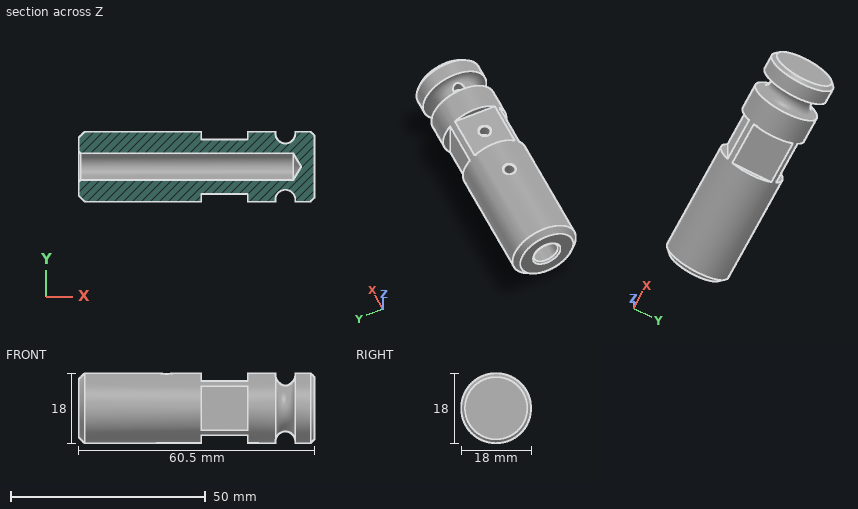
import cadquery as cq
import math

length = 60.5
body_diameter = 18.0
body_radius = body_diameter / 2
bored_end_chamfer = 1.5
head_end_chamfer = 1.0

groove_center = 53.0
groove_width = 5.0
groove_bottom_radius = 2.5
groove_core_diameter = 12.0

flat_center = 37.4
flat_length = 11.9
flat_start = flat_center - flat_length / 2
across_flats = 14.0

bore_diameter = 6.8
bore_depth = 55.0
bore_mouth_diameter = 7.8
drill_point_angle = 118.0

radial_hole_diameter = 3.0
radial_hole_chamfer = 0.2
lubrication_hole_position = 22.5


def make_body():
    """Plain bar with a chamfer at each end."""
    bar = cq.Workplane("YZ").circle(body_radius).extrude(length)
    bar = bar.faces("<X").chamfer(bored_end_chamfer)
    return bar.faces(">X").chamfer(head_end_chamfer)


def make_groove():
    """Ring to remove, revolved about the X axis."""
    half_width = groove_width / 2
    core_radius = groove_core_diameter / 2
    arc_center_height = core_radius + groove_bottom_radius
    arc_end_height = arc_center_height - math.sqrt(groove_bottom_radius**2 - half_width**2)
    return (
        cq.Workplane("XY")
        .moveTo(groove_center - half_width, body_radius)
        .lineTo(groove_center - half_width, arc_end_height)
        .threePointArc((groove_center, core_radius), (groove_center + half_width, arc_end_height))
        .lineTo(groove_center + half_width, body_radius)
        .close()
        .revolve(360, (0, 0, 0), (1, 0, 0))
    )


def make_flats():
    """Material outside the square section over the length of the flats."""
    return (
        cq.Workplane("YZ", origin=(flat_start, 0, 0))
        .rect(body_diameter, body_diameter)
        .rect(across_flats, across_flats)
        .extrude(flat_length)
    )


def make_bore():
    """Axial bore with a 45 degree mouth chamfer and a conical end."""
    bore_radius = bore_diameter / 2
    mouth_radius = bore_mouth_diameter / 2
    mouth_chamfer = mouth_radius - bore_radius
    point_length = bore_radius / math.tan(math.radians(drill_point_angle / 2))
    return (
        cq.Workplane("XY")
        .moveTo(0, 0)
        .lineTo(0, mouth_radius)
        .lineTo(mouth_chamfer, bore_radius)
        .lineTo(bore_depth, bore_radius)
        .lineTo(bore_depth + point_length, 0)
        .close()
        .revolve(360, (0, 0, 0), (1, 0, 0))
    )


def make_radial_hole(position):
    """Drill running from the bar axis up through the top surface."""
    return (
        cq.Workplane("XY", origin=(position, 0, 0))
        .circle(radial_hole_diameter / 2)
        .extrude(body_radius)
    )


def chamfer_hole_mouth(part, position, surface_height):
    """Break the upper edge of a radial hole that opens near the given height."""
    radius = radial_hole_diameter / 2
    half_box = radial_hole_diameter
    mouth = cq.selectors.BoxSelector(
        (position - half_box, -half_box, surface_height - radius),
        (position + half_box, half_box, surface_height + radius),
        boundingbox=True,
    )
    return part.edges(mouth).chamfer(radial_hole_chamfer)


body = make_body().cut(make_groove()).cut(make_flats())
for hole_position in (lubrication_hole_position, flat_center, groove_center):
    body = body.cut(make_radial_hole(hole_position))
body = chamfer_hole_mouth(body, lubrication_hole_position, body_radius)
body = chamfer_hole_mouth(body, flat_center, across_flats / 2)

result = body.cut(make_bore())